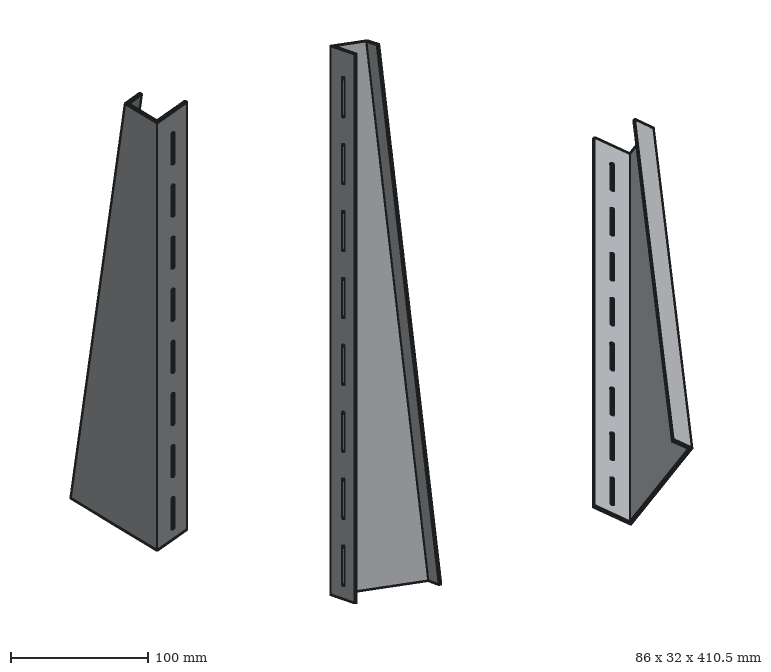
import cadquery as cq
import math

height = 410.0
base_width = 86.0
top_width = 32.0
sheet = 2.0

slotted_flange_depth = 32.0
slot_length = 30.0
slot_width = 3.0
slot_pitch = 50.0
slot_count = 8
first_slot_z = 25.0
slot_y = (sheet + slotted_flange_depth) / 2

sloped_flange_depth = 16.0
slope_angle = math.atan2(base_width - top_width, height)
end_overshoot = sheet * math.sin(slope_angle)
free_edge_length = (height + end_overshoot) / math.cos(slope_angle)
root_inset = end_overshoot


def make_web():
    """Tapered plate parallel to XZ, with its straight side at X = 0."""
    outline = [(0, 0), (-base_width, 0), (-top_width, height), (0, height)]
    return cq.Workplane("XZ").polyline(outline).close().extrude(-sheet)


def make_slotted_flange():
    """Flange at X = 0 with a column of slots in the middle of its clear depth."""
    flange = cq.Workplane("XY").box(sheet, slotted_flange_depth, height, centered=False)
    flange = flange.translate((-sheet, 0, 0))
    slot_centres = [(slot_y, first_slot_z + i * slot_pitch) for i in range(slot_count)]
    slots = (
        cq.Workplane("YZ")
        .pushPoints(slot_centres)
        .slot2D(slot_length, slot_width, 90)
        .extrude(-sheet)
    )
    return flange.cut(slots)


def make_sloped_flange():
    """Strip slightly longer at its free edge, turned about its foot to follow the slope."""
    outline = [
        (0, root_inset),
        (sloped_flange_depth, 0),
        (sloped_flange_depth, free_edge_length),
        (0, free_edge_length - root_inset),
    ]
    strip = cq.Workplane("YZ").polyline(outline).close().extrude(sheet)
    strip = strip.rotate((0, 0, 0), (0, 1, 0), math.degrees(slope_angle))
    return strip.translate((-base_width, 0, 0))


result = make_web().union(make_slotted_flange()).union(make_sloped_flange())